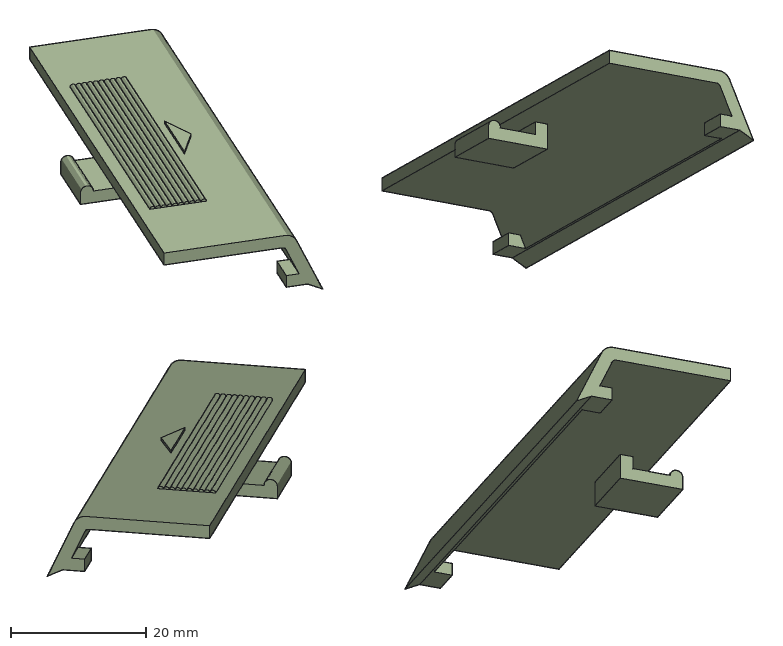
import cadquery as cq
import math

length = 67.6
thickness = 2.0
plate_top = 9.95
plate_bottom = plate_top - thickness
wall_tip_y = 24.6
wall_angle = math.radians(65.2)
outer_bend_radius = 2.0
inner_bend_radius = 0.7

foot_z = 1.2
foot_bevel_run = 2.35

tab_length = 4.7
tab_height = 1.95
tab_front_y = 18.9
tab_overlap = 0.35

hook_width = 10.0
hook_reach = 4.05
hook_depth = 10.0
hook_bottom = 4.0
hook_floor = 5.95
lip_radius = 1.0

relief_height = 0.4
ridge_count = 10
ridge_pitch = 0.9
ridge_length = 40.15
ridges_front_y = 2.0
arrow_base_y = 12.0
arrow_width = hook_width
arrow_height = 2.6


def outer_wall_y(z):
    return wall_tip_y - z / math.tan(wall_angle)


def inner_wall_y(z):
    return outer_wall_y(z) - thickness / math.sin(wall_angle)


def extrude_across(profile, width):
    """Extrude a YZ profile to the given width, centred on X = 0."""
    return profile.extrude(width / 2, both=True)


def make_shell():
    """Plate and sloping wall, with both sides of the bend rounded."""
    profile = cq.Workplane("YZ").polyline([
        (0, plate_top),
        (outer_wall_y(plate_top), plate_top),
        (wall_tip_y, 0),
        (wall_tip_y - foot_bevel_run, foot_z),
        (inner_wall_y(foot_z), foot_z),
        (inner_wall_y(plate_bottom), plate_bottom),
        (0, plate_bottom),
    ]).close()
    shell = extrude_across(profile, length)
    outer_bend = cq.NearestToPointSelector((0, outer_wall_y(plate_top), plate_top))
    inner_bend = cq.NearestToPointSelector((0, inner_wall_y(plate_bottom), plate_bottom))
    shell = shell.edges("|X").edges(outer_bend).fillet(outer_bend_radius)
    return shell.edges("|X").edges(inner_bend).fillet(inner_bend_radius)


def make_tab(side):
    """Block on the inside of the wall, flush with the end at side = -1 or +1."""
    tab_top = foot_z + tab_height
    return (
        cq.Workplane("YZ", origin=(side * length / 2, 0, 0))
        .polyline([
            (tab_front_y, foot_z),
            (inner_wall_y(foot_z) + tab_overlap, foot_z),
            (inner_wall_y(tab_top) + tab_overlap, tab_top),
            (tab_front_y, tab_top),
        ])
        .close()
        .extrude(-side * tab_length)
    )


def make_hook():
    """L-shaped latch arm ending in a lip with a half-round top."""
    front = -hook_reach
    back = front + hook_depth
    profile = (
        cq.Workplane("YZ")
        .moveTo(back, plate_bottom)
        .lineTo(back, hook_bottom)
        .lineTo(front, hook_bottom)
        .lineTo(front, hook_floor)
        .threePointArc(
            (front + lip_radius, hook_floor + lip_radius),
            (front + 2 * lip_radius, hook_floor),
        )
        .lineTo(back - thickness, hook_floor)
        .lineTo(back - thickness, plate_bottom)
        .close()
    )
    return extrude_across(profile, hook_width)


def make_ridges():
    """Row of touching, round-topped grip ridges."""
    profile = cq.Workplane("YZ").moveTo(ridges_front_y, plate_top)
    for index in range(ridge_count):
        start = ridges_front_y + index * ridge_pitch
        profile = profile.threePointArc(
            (start + ridge_pitch / 2, plate_top + relief_height),
            (start + ridge_pitch, plate_top),
        )
    return extrude_across(profile.close(), ridge_length)


def make_arrow():
    """Raised triangle pointing towards the wall."""
    return (
        cq.Workplane("XY", origin=(0, 0, plate_top))
        .polyline([
            (-arrow_width / 2, arrow_base_y),
            (arrow_width / 2, arrow_base_y),
            (0, arrow_base_y + arrow_height),
        ])
        .close()
        .extrude(relief_height)
    )


result = make_shell().union(make_hook()).union(make_ridges()).union(make_arrow())
for side in (-1, 1):
    result = result.union(make_tab(side))